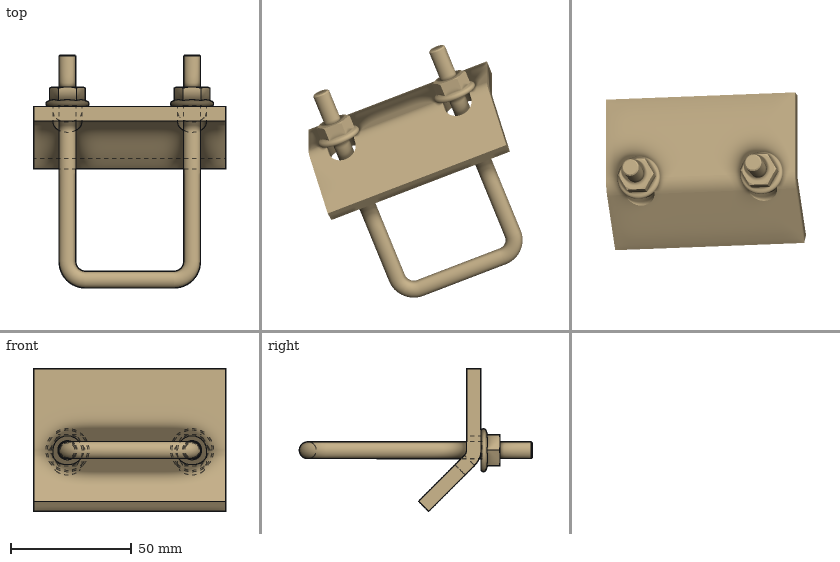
import cadquery as cq
import math

plate_width = 80.0
plate_thickness = 6.0
plate_height = 59.51
upper_leg_length = 34.0
bend_angle = 45.0
bend_inner_radius = 3.0
bend_outer_radius = bend_inner_radius + plate_thickness
hole_diameter = 12.0
lower_hole_offset = 0.45

rod_diameter = 7.1
rod_spacing = 51.9
rod_bend_radius = 7.5
bolt_length = 97.1
rod_projection = 21.4
rod_end_chamfer = 0.5

nut_height = 8.0
nut_sides = 6
nut_across_flats = 13.0
nut_chamfer_diameter = 13.3
nut_chamfer_angle = 25.0
nut_countersink_diameter = 8.0
flange_diameter = 18.0
flange_edge_radius = 1.2
flange_edge_height = 1.05
flange_slope_angle = 20.0

bend_sin = math.sin(math.radians(bend_angle))
bend_cos = math.cos(math.radians(bend_angle))
bend_center_y = -bend_outer_radius
lower_leg_length = (plate_height - upper_leg_length - bend_outer_radius * bend_sin) / bend_sin
FULL_TURN = 360
Y_AXIS = ((0, 0, 0), (0, 1, 0))
rod_positions = (-rod_spacing / 2, rod_spacing / 2)


def bend_point(radius, angle):
    """YZ point on the bend, at an angle measured from the bend start."""
    turn = math.radians(angle)
    return (bend_center_y + radius * math.cos(turn), -radius * math.sin(turn))


def lower_leg_end(radius):
    """YZ point at the free end of the lower leg, on the face of the given bend radius."""
    y, z = bend_point(radius, bend_angle)
    return (y - lower_leg_length * bend_sin, z - lower_leg_length * bend_cos)


def make_plate():
    """Bent plate with a clearance hole on the bend for each rod."""
    half_angle = bend_angle / 2
    profile = (
        cq.Workplane("YZ", origin=(-plate_width / 2, 0, 0))
        .moveTo(0, upper_leg_length)
        .lineTo(0, 0)
        .threePointArc(bend_point(bend_outer_radius, half_angle), bend_point(bend_outer_radius, bend_angle))
        .lineTo(*lower_leg_end(bend_outer_radius))
        .lineTo(*lower_leg_end(bend_inner_radius))
        .lineTo(*bend_point(bend_inner_radius, bend_angle))
        .threePointArc(bend_point(bend_inner_radius, half_angle), (-plate_thickness, 0))
        .lineTo(-plate_thickness, upper_leg_length)
        .close()
    )
    plate = profile.extrude(plate_width)
    for x in rod_positions:
        plate = plate.cut(make_hole(x))
    return plate


def make_hole(x):
    """Cutter for a hole that follows the bend: round in each leg, straight sided across the bend."""
    radius = hole_diameter / 2
    upper_half = (
        cq.Workplane("XZ", origin=(x, 0, 0))
        .moveTo(-radius, 0)
        .threePointArc((0, radius), (radius, 0))
        .close()
        .extrude(plate_thickness)
    )
    bend_sector = (
        cq.Workplane("YZ", origin=(x - radius, 0, 0))
        .moveTo(0, 0)
        .threePointArc(
            bend_point(bend_outer_radius, bend_angle / 2), bend_point(bend_outer_radius, bend_angle)
        )
        .lineTo(*bend_point(bend_inner_radius, bend_angle))
        .threePointArc(bend_point(bend_inner_radius, bend_angle / 2), (-plate_thickness, 0))
        .close()
        .extrude(hole_diameter)
    )
    outer_y, outer_z = bend_point(bend_outer_radius, bend_angle)
    lower_plane = cq.Plane(origin=(x, outer_y, outer_z), xDir=(1, 0, 0), normal=(0, -bend_cos, bend_sin))
    half_chord = math.sqrt(radius**2 - lower_hole_offset**2)
    lower_half = (
        cq.Workplane(lower_plane)
        .moveTo(-half_chord, 0)
        .threePointArc((0, lower_hole_offset - radius), (half_chord, 0))
        .close()
        .extrude(plate_thickness)
    )
    return upper_half.union(bend_sector).union(lower_half)


def make_bolt():
    """Square U-bolt lying in the XY plane, with chamfered rod ends."""
    half_spacing = rod_spacing / 2
    bottom_y = rod_projection - bolt_length + rod_diameter / 2
    bend_start_y = bottom_y + rod_bend_radius
    bend_start_x = half_spacing - rod_bend_radius
    path = (
        cq.Workplane("XY")
        .moveTo(-half_spacing, rod_projection)
        .lineTo(-half_spacing, bend_start_y)
        .radiusArc((-bend_start_x, bottom_y), -rod_bend_radius)
        .lineTo(bend_start_x, bottom_y)
        .radiusArc((half_spacing, bend_start_y), -rod_bend_radius)
        .lineTo(half_spacing, rod_projection)
    )
    section = cq.Workplane("XZ", origin=(-half_spacing, rod_projection, 0)).circle(rod_diameter / 2)
    return section.sweep(path).faces(">Y").chamfer(rod_end_chamfer)


def make_flange():
    """Round nut flange about the Y axis, with a rounded rim and a top that rises to the hexagon."""
    slope = math.radians(flange_slope_angle)
    rim_center = flange_diameter / 2 - flange_edge_radius
    seat_radius = rim_center + math.sqrt(flange_edge_radius**2 - flange_edge_height**2)
    slope_start_radius = rim_center + flange_edge_radius * math.sin(slope)
    slope_start_height = flange_edge_height + flange_edge_radius * math.cos(slope)
    inner_radius = nut_across_flats / 2
    inner_height = slope_start_height + (slope_start_radius - inner_radius) * math.tan(slope)
    return (
        cq.Workplane("XY")
        .lineTo(seat_radius, 0)
        .threePointArc((flange_diameter / 2, flange_edge_height), (slope_start_radius, slope_start_height))
        .lineTo(inner_radius, inner_height)
        .lineTo(0, inner_height)
        .close()
        .revolve(FULL_TURN, *Y_AXIS)
    )


def make_hexagon():
    """Hexagon about the Y axis with corners along X, its outer corners cut back by a cone."""
    corner_radius = nut_across_flats / 2 / math.cos(math.pi / nut_sides)
    hexagon = cq.Workplane("XZ").polygon(nut_sides, 2 * corner_radius).extrude(-nut_height)
    top_radius = nut_chamfer_diameter / 2
    blank_radius = nut_across_flats
    cone_drop = (blank_radius - top_radius) * math.tan(math.radians(nut_chamfer_angle))
    blank = (
        cq.Workplane("XY")
        .lineTo(blank_radius, 0)
        .lineTo(blank_radius, nut_height - cone_drop)
        .lineTo(top_radius, nut_height)
        .lineTo(0, nut_height)
        .close()
        .revolve(FULL_TURN, *Y_AXIS)
    )
    return hexagon.intersect(blank)


def make_nut():
    """Flange nut about the Y axis, seated at Y = 0, bored for the rod with a 90 degree countersink."""
    bore_radius = rod_diameter / 2
    countersink_radius = nut_countersink_diameter / 2
    bore = (
        cq.Workplane("XY")
        .lineTo(countersink_radius, 0)
        .lineTo(bore_radius, countersink_radius - bore_radius)
        .lineTo(bore_radius, nut_height)
        .lineTo(0, nut_height)
        .close()
        .revolve(FULL_TURN, *Y_AXIS)
    )
    return make_flange().union(make_hexagon()).cut(bore)


result = make_plate().union(make_bolt())
for rod_x in rod_positions:
    result = result.union(make_nut().translate((rod_x, 0, 0)))